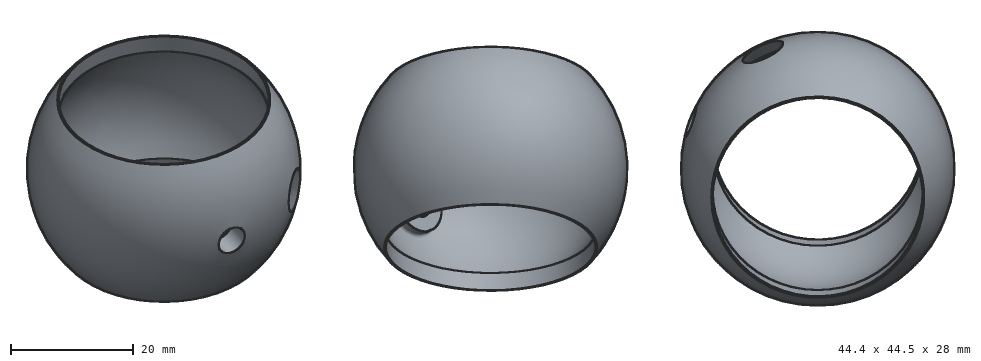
import cadquery as cq
import math

outer_radius = 22.25
wall = 2.0
inner_radius = outer_radius - wall
height = 28.0
bore_radius = 17.05

window_angle = 45.0
window_outer_radius = 3.55
window_inner_radius = 6.25

boss_radius = 4.95
boss_face_x = 17.8
boss_hole_radius = 2.45
boss_fillet = 0.5


def depth_on_sphere(sphere_radius, circle_radius):
    """Distance from the sphere's centre to a circle lying on its surface."""
    return math.sqrt(sphere_radius**2 - circle_radius**2)


def x_cylinder(radius, start, end):
    return cq.Workplane("YZ", origin=(start, 0, 0)).circle(radius).extrude(end - start)


def hollow_with_boss():
    """Spherical cavity with the boss left standing, its root blended into the wall."""
    cavity = cq.Workplane("XY").sphere(inner_radius).rotate((0, 0, 0), (0, 0, 1), 180)
    boss = x_cylinder(boss_radius, boss_face_x, outer_radius)
    root_x = depth_on_sphere(inner_radius, boss_radius)
    root_point = cq.selectors.NearestToPointSelector((root_x, 0, 0))
    return cavity.cut(boss).edges(root_point).fillet(boss_fillet)


def window_cone():
    """Cone through the wall, continued past both surfaces at the same slope."""
    outer_depth = depth_on_sphere(outer_radius, window_outer_radius)
    inner_depth = depth_on_sphere(inner_radius, window_inner_radius)
    slope = (window_inner_radius - window_outer_radius) / (outer_depth - inner_depth)
    tip = outer_depth + window_outer_radius / slope
    base = inner_depth - wall
    base_radius = (tip - base) * slope
    cone = (
        cq.Workplane("XY")
        .moveTo(base, 0)
        .lineTo(tip, 0)
        .lineTo(base, base_radius)
        .close()
        .revolve(360, (0, 0, 0), (1, 0, 0))
    )
    return cone.rotate((0, 0, 0), (0, 0, 1), window_angle)


slab = cq.Workplane("XY").box(2 * outer_radius, 2 * outer_radius, height)
bore = cq.Workplane("XY").circle(bore_radius).extrude(height / 2, both=True)
boss_hole = x_cylinder(boss_hole_radius, boss_face_x, outer_radius)

result = (
    cq.Workplane("XY")
    .sphere(outer_radius)
    .intersect(slab)
    .cut(hollow_with_boss())
    .cut(bore)
    .cut(window_cone())
    .cut(boss_hole)
)